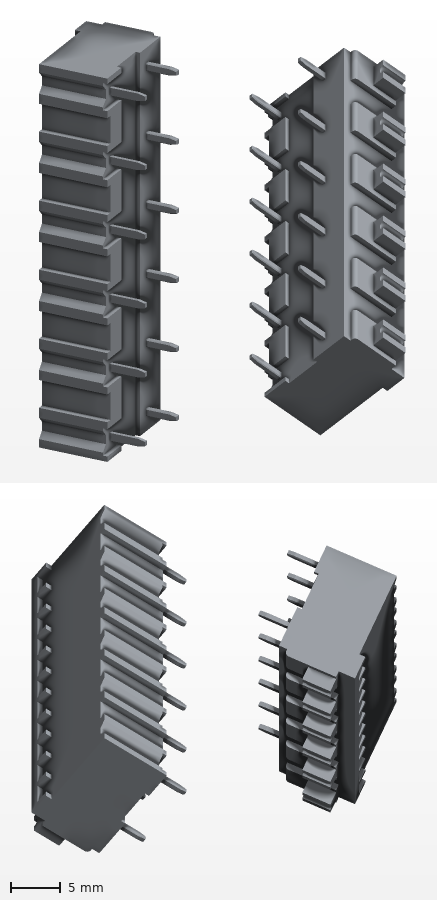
import cadquery as cq

POLES = 6
PITCH = 7.62
END_MARGIN = 2.1
LENGTH = (POLES - 1) * PITCH + 2 * END_MARGIN
POLE_CENTRES = [END_MARGIN + i * PITCH for i in range(POLES)]

LIP_DEPTH = 0.65
BACK_X = 8.4
SHOULDER_Y = 11.6
BACK_CHANNEL_X = 7.9
BACK_CHANNEL_Y = (3.05, 7.15)

LIP_BOTTOM_Y = 10.6
FINGER_BOTTOM_Y = 9.1
FINGER_LENGTH = 0.77
FINGER_OUTER = 2.3

FOOT_HEIGHT = 0.65
FOOT_HALF_LENGTH = 2.28
GROOVE_HALF_MOUTH = 1.18
GROOVE_HALF_FLOOR = 0.5
PIN_POCKET_HALF_LENGTH = 1.5

PAD_FRONT_X = 1.8
PAD_BACK_X = 7.5
PAD_TOP_Y = 12.25
PAD_HALF_LENGTH = END_MARGIN
PAD_ROUNDING = 0.45
TAB_DEPTH = 3.1
TAB_TOP_Y = 13.65
TAB_HALF_LENGTH = 1.33
TAB_NOTCH_RADIUS = 0.5
TAB_CLEARANCE = 0.1
TAB_SLOT_DEPTH = 0.25

PIN_END_X = 11.9
PIN_TIP_LENGTH = 0.8
PIN_HALF_WIDTH = 0.42
PIN_TIP_HALF_WIDTH = 0.25
PIN_THICKNESS = 0.5
PIN_EDGE_CHAMFER = 0.1
LOWER_PIN_Y = 1.47
UPPER_PIN_Y = 8.93


def box(x_range, y_range, z_range):
    """Box spanning the given X, Y and Z intervals."""
    corner = (x_range[0], y_range[0], z_range[0])
    size = [high - low for low, high in (x_range, y_range, z_range)]
    return cq.Workplane("XY").box(*size, centered=False).translate(corner)


def around(centre, half_length):
    """Interval along Z about a pole centre, kept within the housing length."""
    return max(0, centre - half_length), min(LENGTH, centre + half_length)


def make_housing():
    """Block standing on its feet, with the back channel and the lip bar."""
    block = box((LIP_DEPTH, BACK_X), (FOOT_HEIGHT, SHOULDER_Y), (0, LENGTH))
    lip = box((0, LIP_DEPTH), (LIP_BOTTOM_Y, SHOULDER_Y), (0, LENGTH))
    return block.union(lip)


def make_fingers(centre):
    """Two short fingers below the lip, one on each side of the pole."""
    low, high = around(centre, FINGER_OUTER)
    y_range = (FINGER_BOTTOM_Y, LIP_BOTTOM_Y)
    first = box((0, LIP_DEPTH), y_range, (low, low + FINGER_LENGTH))
    second = box((0, LIP_DEPTH), y_range, (high - FINGER_LENGTH, high))
    return first.union(second)


def make_foot(centre):
    """Foot under the pole, split by a groove with sloping sides."""
    foot = box((LIP_DEPTH, BACK_X), (0, FOOT_HEIGHT), around(centre, FOOT_HALF_LENGTH))
    groove = (
        cq.Workplane("YZ", origin=(LIP_DEPTH, 0, centre))
        .polyline([
            (0, -GROOVE_HALF_MOUTH),
            (FOOT_HEIGHT, -GROOVE_HALF_FLOOR),
            (FOOT_HEIGHT, GROOVE_HALF_FLOOR),
            (0, GROOVE_HALF_MOUTH),
        ])
        .close()
        .extrude(BACK_X - LIP_DEPTH)
    )
    return foot.cut(groove)


def make_pin_pocket(centre):
    """Recess in the back face around the lower pin, open at the underside."""
    z_range = around(centre, PIN_POCKET_HALF_LENGTH)
    return box((BACK_CHANNEL_X, BACK_X), (0, BACK_CHANNEL_Y[0]), z_range)


def make_pad(centre):
    """Raised pad on the shoulder with a rounded back edge and a slot for the tab."""
    z_range = around(centre, PAD_HALF_LENGTH)
    pad = box((PAD_FRONT_X, PAD_BACK_X), (SHOULDER_Y, PAD_TOP_Y), z_range)
    pad = pad.edges(">X and >Y").fillet(PAD_ROUNDING)
    slot = box(
        (PAD_FRONT_X, PAD_FRONT_X + TAB_DEPTH),
        (PAD_TOP_Y - TAB_SLOT_DEPTH, PAD_TOP_Y),
        around(centre, TAB_HALF_LENGTH + TAB_CLEARANCE),
    )
    return pad.cut(slot)


def make_tab(centre):
    """Upright tab on the pad with a half-round notch in its top edge."""
    x_range = (PAD_FRONT_X, PAD_FRONT_X + TAB_DEPTH)
    tab = box(x_range, (SHOULDER_Y, TAB_TOP_Y), around(centre, TAB_HALF_LENGTH))
    notch = (
        cq.Workplane("YZ", origin=(PAD_FRONT_X, TAB_TOP_Y, centre))
        .circle(TAB_NOTCH_RADIUS)
        .extrude(TAB_DEPTH)
    )
    return tab.cut(notch)


def make_pin(centre):
    """Flat pin with a tapered tip, outer face at Y = 0, inner edges chamfered."""
    taper_x = PIN_END_X - PIN_TIP_LENGTH
    return (
        cq.Workplane("ZX", origin=(0, 0, centre))
        .polyline([
            (-PIN_HALF_WIDTH, BACK_CHANNEL_X),
            (-PIN_HALF_WIDTH, taper_x),
            (-PIN_TIP_HALF_WIDTH, PIN_END_X),
            (PIN_TIP_HALF_WIDTH, PIN_END_X),
            (PIN_HALF_WIDTH, taper_x),
            (PIN_HALF_WIDTH, BACK_CHANNEL_X),
        ])
        .close()
        .extrude(PIN_THICKNESS)
        .edges(">Y")
        .edges("not <X")
        .chamfer(PIN_EDGE_CHAMFER)
    )


def make_pin_pair(centre):
    """Lower pin and its mirror image in the upper row."""
    pin = make_pin(centre)
    lower = pin.translate((0, LOWER_PIN_Y, 0))
    upper = pin.mirror("XZ").translate((0, UPPER_PIN_Y, 0))
    return lower, upper


result = make_housing()
for pole in POLE_CENTRES:
    for feature in (make_fingers(pole), make_foot(pole), make_pad(pole), make_tab(pole)):
        result = result.union(feature)

result = result.cut(box((BACK_CHANNEL_X, BACK_X), BACK_CHANNEL_Y, (0, LENGTH)))
for pole in POLE_CENTRES:
    result = result.cut(make_pin_pocket(pole))
    for pin in make_pin_pair(pole):
        result = result.union(pin)